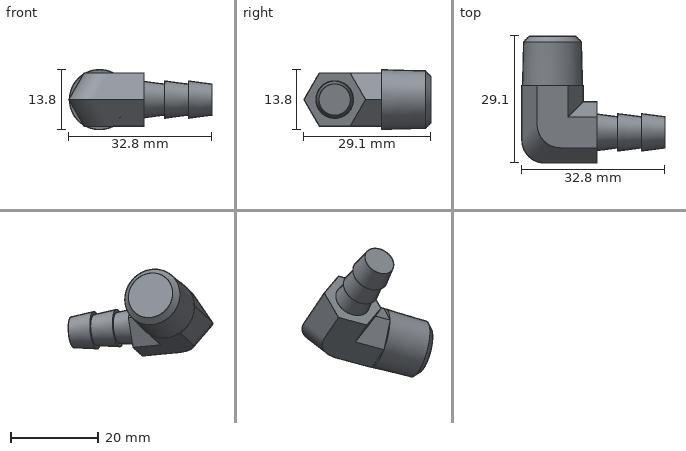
import cadquery as cq
import math

overall_length_x = 32.82
overall_length_y = 29.08

across_flats = 12.2
half_flats = across_flats / 2
corner_radius = across_flats / math.sqrt(3)
flat_half_width = corner_radius / 2
bend_radius = 5.32
barb_leg_end = 10.17
thread_leg_end = 10.67

thread_root_radius = 6.9
thread_tip_radius = 6.63
thread_chamfer = 1.3
thread_end = overall_length_y - corner_radius

barb_end = overall_length_x - corner_radius
barb_pitch = 5.45
barb_count = 3
barb_large_radius = 4.3
barb_small_radius = 3.58


def elbow_outline(height, half_width):
    """L-shaped section of the elbow at a given height, with a rounded outer bend."""
    bend_center = bend_radius - half_width
    bend_middle = bend_center - bend_radius * math.sqrt(0.5)
    return (
        cq.Workplane("XY", origin=(0, 0, height))
        .moveTo(-half_width, thread_leg_end)
        .lineTo(-half_width, bend_center)
        .threePointArc((bend_middle, bend_middle), (bend_center, -half_width))
        .lineTo(barb_leg_end, -half_width)
        .lineTo(barb_leg_end, half_width)
        .lineTo(half_width, half_width)
        .lineTo(half_width, thread_leg_end)
        .close()
        .val()
    )


def elbow_half(height):
    """Half of the hexagonal elbow, narrowing from the middle plane to one flat."""
    wires = [elbow_outline(0, corner_radius), elbow_outline(height, flat_half_width)]
    return cq.Workplane(cq.Solid.makeLoft(wires, True))


def thread_blank():
    return (
        cq.Workplane("XY")
        .moveTo(0, thread_leg_end)
        .lineTo(thread_root_radius, thread_leg_end)
        .lineTo(thread_tip_radius, thread_end - thread_chamfer)
        .lineTo(thread_tip_radius - thread_chamfer, thread_end)
        .lineTo(0, thread_end)
        .close()
        .revolve(360, (0, 0, 0), (0, 1, 0))
    )


def hose_barb():
    """Row of equal cones; the root of the first one is buried in the elbow."""
    first_start = barb_end - barb_count * barb_pitch
    profile = cq.Workplane("XY").moveTo(first_start, 0)
    for index in range(barb_count):
        start = first_start + index * barb_pitch
        profile = profile.lineTo(start, barb_large_radius)
        profile = profile.lineTo(start + barb_pitch, barb_small_radius)
    return profile.lineTo(barb_end, 0).close().revolve(360, (0, 0, 0), (1, 0, 0))


elbow = elbow_half(half_flats).union(elbow_half(-half_flats))
result = elbow.union(thread_blank()).union(hose_barb())